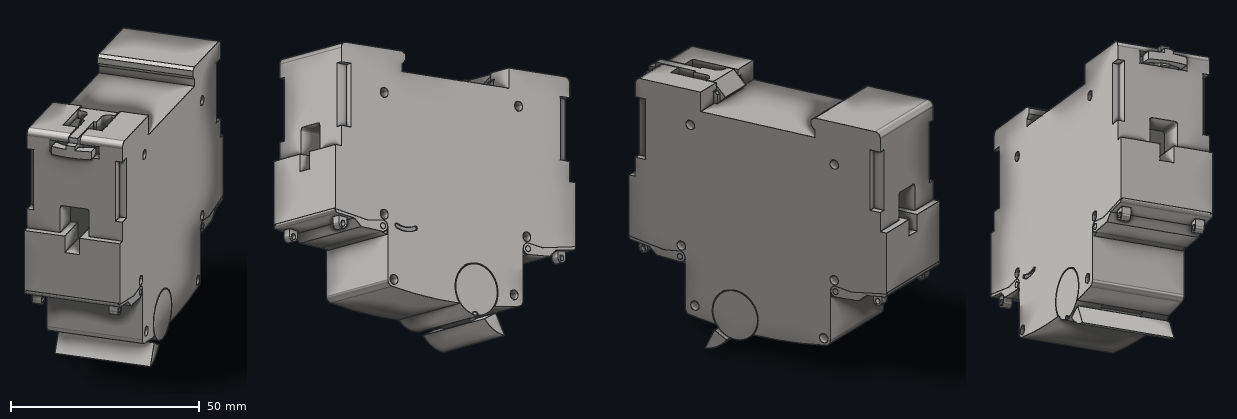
import cadquery as cq
import math


width = 27.0
overall_length = 81.3
overall_height = 72.7
top_z = 5.5
rail_half = 17.7
upper_half = 38.0
lower_half = 40.0
shoulder_z = -22.7
top_round = 1.6
lip_reach = 1.1
lip_chamfer = 0.7
lip_low_z = 3.2
lip_root_z = lip_low_z - lip_reach
neck_half = 22.5
neck_corner_z = -58.4
neck_low_z = -60.4
neck_round = 1.6
skirt_z = -40.1
valley_y = 29.1
valley_z = -41.8

notch_width, notch_depth, notch_low_z = 1.95, 3.2, -17.2
rivet_radius = 1.3
rivet_places = [(23.7, -6.5), (-21.0, -4.5), (23.7, -39.5), (-23.7, -39.5), (20.5, -56.7), (-19.5, -55.75)]

opening_width, opening_top_z, opening_round = 8.1, -14.9, 0.8
opening_depth = 8.1
opening_slot_width, opening_slot_z = 4.15, -27.4

arc_mark_radius = 7.6
arc_mark_half_angle = 24.0
arc_mark_width = 1.1
arc_mark_depth = 0.4
arc_mark_y, arc_mark_low_z = 16.4, -42.6

hinge_y, hinge_z = 24.1, -42.7
barrel_radius = 1.55
pin_radius = 0.8
cover_edge_z = -40.95
cover_edge_round = 0.65
cover_step_y = 33.7
cover_step_z = -41.8
cover_belly_y = 31.4
cover_belly_z = -43.8
cover_inset = 0.5
cover_lip = 0.25
cover_foot_z = -44.7
eyelet_y, eyelet_z = 36.4, -43.3
eyelet_radius, eyelet_thickness, eyelet_x = 1.3, 2.6, 10.8
eyelet_hole_width, eyelet_hole_height = 1.3, 1.6

drum_y, drum_z = -7.0, -55.9
drum_radius = 6.9
drum_clearance = 0.25
drum_dot_radius, drum_dot_depth, drum_dot_y = 0.9, 0.4, -6.7
handle_neck_length = 11.9
lever_heel = (-9.7, -63.5)
lever_belly = (-11.8, -65.5)
lever_tip = (-16.4, top_z - overall_height)
lever_brow = (-13.4, -61.4)
handle_neck_tilt = 28.6
handle_neck_low, handle_neck_high = -0.1, 1.9
handle_neck_end = 8.0
drum_relief_base = 5.7
drum_relief_width = 3.25

passage_half, passage_top_z = 6.9, 3.5
pocket_half, pocket_end_y = 5.5, -31.8
stem_slot_half = 1.55
plate_top_z = 3.25
plate_half, plate_back_y, plate_front_y = 6.5, -16.8, -34.95
plate_chamfer, plate_round = 0.7, 1.8
head_half, head_end_y = 5.2, -21.0
hook_tip_y, hook_tip_z, hook_low_z = -15.1, 1.8, 0.6
hook_base_y = -16.25
latch_neck_half, latch_neck_end_y, latch_neck_round = 2.1, -26.8, 2.0
window_back_half, window_front_half, window_front_y = 4.55, 2.0, -30.9
stem_half, stem_end_y = 1.3, -39.2
grip_half, grip_low_z, grip_top_z = 5.6, 0.6, 2.85
grip_inner_y, grip_inner_mid_y = -37.0, -39.0
grip_side_y = -40.55
grip_end_y = lower_half - overall_length
nib_top_z = 4.0

pick_margin = 0.1


def box(x_range, y_range, z_range):
    """Box between the given limits."""
    size = [high - low for low, high in (x_range, y_range, z_range)]
    corner = cq.Vector(x_range[0], y_range[0], z_range[0])
    return cq.Workplane(cq.Solid.makeBox(*size, corner))


def x_bar(sketch, length, x=0.0):
    """Extrude a closed YZ outline by the length, centred on x."""
    return sketch.extrude(length / 2, both=True).translate((x, 0, 0))


def x_cylinder(y, z, radius, length=width):
    return x_bar(cq.Workplane("YZ").center(y, z).circle(radius), length)


def mirrored_pair(shape):
    """The shape and its mirror image at the other end of the housing."""
    return [shape, shape.mirror("XZ")]


def housing_blank():
    corner = top_round * (1 - math.sqrt(0.5))
    profile = (
        cq.Workplane("YZ")
        .moveTo(rail_half, 0)
        .lineTo(rail_half, lip_root_z)
        .lineTo(rail_half - lip_reach, lip_low_z)
        .lineTo(rail_half - lip_reach, top_z - lip_chamfer)
        .lineTo(rail_half, top_z)
        .lineTo(upper_half - top_round, top_z)
        .threePointArc((upper_half - corner, top_z - corner), (upper_half, top_z - top_round))
        .lineTo(upper_half, shoulder_z)
        .lineTo(lower_half, shoulder_z)
        .lineTo(lower_half, skirt_z)
        .lineTo(valley_y, valley_z)
        .lineTo(hinge_y, hinge_z + barrel_radius)
        .lineTo(hinge_y, hinge_z)
        .lineTo(neck_half, hinge_z)
        .lineTo(neck_half, neck_corner_z)
        .threePointArc((0, neck_low_z), (-neck_half, neck_corner_z))
        .lineTo(-neck_half, hinge_z)
        .lineTo(-hinge_y, hinge_z)
        .lineTo(-hinge_y, hinge_z + barrel_radius)
        .lineTo(-valley_y, valley_z)
        .lineTo(-lower_half, skirt_z)
        .lineTo(-lower_half, shoulder_z)
        .lineTo(-upper_half, shoulder_z)
        .lineTo(-upper_half, top_z - top_round)
        .threePointArc((corner - upper_half, top_z - corner), (top_round - upper_half, top_z))
        .lineTo(-rail_half, top_z)
        .lineTo(-rail_half, 0)
        .close()
    )
    neck_corners = cq.selectors.BoxSelector(
        (-width, -neck_half - pick_margin, neck_corner_z - pick_margin),
        (width, neck_half + pick_margin, neck_corner_z + pick_margin),
    )
    return x_bar(profile, width).edges("|X").edges(neck_corners).fillet(neck_round)


def corner_notches():
    """Recesses along the upright edges of the upper part."""
    notch = box(
        (width / 2 - notch_width, width / 2),
        (upper_half - notch_depth, upper_half),
        (notch_low_z, 0),
    )
    return [part for half in mirrored_pair(notch) for part in (half, half.mirror("YZ"))]


def terminal_opening():
    """Opening through the -Y end, wide above the shoulder and narrow below it."""
    inner_y = opening_depth - upper_half
    wide = box(
        (-opening_width / 2, opening_width / 2), (-upper_half, inner_y), (shoulder_z, opening_top_z)
    ).edges("|Y and >Z").fillet(opening_round)
    slot_half = opening_slot_width / 2
    slot = box((-slot_half, slot_half), (-lower_half, inner_y), (opening_slot_z, shoulder_z))
    return wide.union(slot)


def latch_passage():
    """Low passage from the rail recess to the -Y face, with a pocket and a stem slot above it."""
    low = box((-passage_half, passage_half), (-upper_half, -rail_half), (0, passage_top_z))
    pocket = box((-pocket_half, pocket_half), (pocket_end_y, -rail_half), (0, top_z))
    slot = box((-stem_slot_half, stem_slot_half), (-upper_half, -rail_half), (0, top_z))
    return low.union(pocket).union(slot)


def curved_mark():
    """Curved recess with round ends in the -X side."""
    center_z = arc_mark_low_z + arc_mark_radius
    angle = math.radians(arc_mark_half_angle)

    def at(radius, turn):
        return arc_mark_y + radius * math.sin(turn), center_z - radius * math.cos(turn)

    inner = arc_mark_radius - arc_mark_width / 2
    outer = arc_mark_radius + arc_mark_width / 2
    end_turn = angle + arc_mark_width / 2 / arc_mark_radius
    return (
        cq.Workplane("YZ", origin=(-width / 2, 0, 0))
        .moveTo(*at(inner, -angle))
        .threePointArc(at(inner, 0), at(inner, angle))
        .threePointArc(at(arc_mark_radius, end_turn), at(outer, angle))
        .threePointArc(at(outer, 0), at(outer, -angle))
        .threePointArc(at(arc_mark_radius, -end_turn), at(inner, -angle))
        .close()
        .extrude(arc_mark_depth)
    )


def cover_lip_wedge():
    """Lip on top of the -Y cover that tapers from the outer end to the valley."""
    outline = (
        cq.Workplane("YZ")
        .moveTo(-lower_half, skirt_z)
        .lineTo(-lower_half, skirt_z + cover_lip)
        .lineTo(-valley_y, valley_z)
        .close()
    )
    return x_bar(outline, width - 2 * cover_inset)


def make_housing():
    body = housing_blank()
    cuts = [*corner_notches(), latch_passage(), curved_mark()]
    cuts += mirrored_pair(terminal_opening())
    cuts += mirrored_pair(cover_lip_wedge())
    cuts += mirrored_pair(x_cylinder(-hinge_y, hinge_z, barrel_radius))
    cuts += [x_cylinder(y, z, rivet_radius) for y, z in rivet_places]
    cuts.append(x_cylinder(drum_y, drum_z, drum_radius + drum_clearance))
    for cut in cuts:
        body = body.cut(cut)
    return body


def eyelet(x):
    """Sealing eye that hangs below the -Y cover."""
    plate = box(
        (-eyelet_thickness / 2, eyelet_thickness / 2),
        (-eyelet_y - eyelet_radius, -eyelet_y + eyelet_radius),
        (eyelet_z, cover_edge_z),
    )
    eye = plate.union(x_cylinder(-eyelet_y, eyelet_z, eyelet_radius, eyelet_thickness))
    hole = x_bar(
        cq.Workplane("YZ")
        .center(-eyelet_y, eyelet_z)
        .ellipse(eyelet_hole_width / 2, eyelet_hole_height / 2),
        width,
    )
    return eye.cut(hole).translate((x, 0, 0))


def make_cover():
    """Hinged terminal cover at the -Y end."""
    plate = x_bar(
        cq.Workplane("YZ")
        .moveTo(-lower_half, skirt_z)
        .lineTo(-valley_y, valley_z)
        .lineTo(-hinge_y, hinge_z + barrel_radius)
        .lineTo(-hinge_y, hinge_z - barrel_radius)
        .lineTo(-cover_belly_y, cover_belly_z)
        .lineTo(-cover_step_y, cover_step_z)
        .lineTo(-lower_half, cover_edge_z)
        .close(),
        width,
    ).edges("|X and <Y").edges("<Z").fillet(cover_edge_round)
    foot = x_bar(
        cq.Workplane("YZ")
        .moveTo(-neck_half, cover_foot_z)
        .lineTo(-hinge_y, hinge_z - barrel_radius)
        .lineTo(-hinge_y, hinge_z)
        .lineTo(-neck_half, hinge_z - barrel_radius / 2)
        .close(),
        width - 2 * cover_inset,
    )
    cover = plate.union(x_cylinder(-hinge_y, hinge_z, barrel_radius)).union(foot).union(cover_lip_wedge())
    for x in (-eyelet_x, eyelet_x):
        cover = cover.union(eyelet(x))
    return cover.cut(x_cylinder(-hinge_y, hinge_z, pin_radius))


def make_hinge_pin():
    return x_cylinder(-hinge_y, hinge_z, pin_radius)


def beside_neck(offsets, distances):
    """Block as long as the neck, placed by offsets across and distances along the tilted neck."""
    block = box(
        (-handle_neck_length / 2, handle_neck_length / 2),
        (-offsets[1], -offsets[0]),
        (-distances[1], -distances[0]),
    )
    return block.rotate((0, 0, 0), (1, 0, 0), -handle_neck_tilt).translate((0, drum_y, drum_z))


def make_handle():
    """Drum with a short neck and a full-width finger lever."""
    drum = x_cylinder(drum_y, drum_z, drum_radius)
    dot = (
        cq.Workplane("YZ", origin=(-width / 2, drum_dot_y, drum_z - drum_radius))
        .circle(drum_dot_radius)
        .extrude(drum_dot_depth)
    )
    lever = x_bar(
        cq.Workplane("YZ")
        .moveTo(*lever_heel)
        .threePointArc(lever_belly, lever_tip)
        .lineTo(*lever_brow)
        .close(),
        width,
    )
    neck = beside_neck((handle_neck_low, handle_neck_high), (0, handle_neck_end))
    relief = beside_neck(
        (handle_neck_high, handle_neck_high + drum_relief_width), (drum_relief_base, drum_radius)
    )
    return drum.cut(dot).cut(relief).union(neck).union(lever)


def latch_upper_tier():
    """Hook head, neck and stem that fill the height of the pocket and the stem slot."""
    hook = x_bar(
        cq.Workplane("YZ")
        .moveTo(hook_tip_y - (top_z - hook_tip_z), top_z)
        .lineTo(hook_tip_y, hook_tip_z)
        .lineTo(hook_base_y, hook_low_z)
        .lineTo(head_end_y, hook_low_z)
        .lineTo(head_end_y, top_z)
        .close(),
        2 * head_half,
    )
    neck = box(
        (-latch_neck_half, latch_neck_half), (latch_neck_end_y, head_end_y), (hook_low_z, top_z)
    )
    inner_corners = cq.selectors.BoxSelector(
        (-latch_neck_half - pick_margin, head_end_y - pick_margin, 0),
        (latch_neck_half + pick_margin, head_end_y + pick_margin, top_z),
    )
    head = hook.union(neck).edges("|Z").edges(inner_corners).fillet(latch_neck_round)
    stem = box((-stem_half, stem_half), (stem_end_y, head_end_y), (0, top_z))
    return head.union(stem)


def latch_plate():
    """Wide guide plate that runs in the passage, with a tapering window on both sides of the stem."""
    plate = (
        box((-plate_half, plate_half), (plate_front_y, plate_back_y), (0, plate_top_z))
        .edges("|Z and <Y").fillet(plate_round)
        .edges(">Y and >Z").chamfer(plate_chamfer)
    )
    window = (
        cq.Workplane("XY")
        .moveTo(-window_back_half, head_end_y)
        .lineTo(-window_front_half, window_front_y)
        .lineTo(window_front_half, window_front_y)
        .lineTo(window_back_half, head_end_y)
        .close()
        .extrude(plate_top_z)
    )
    return plate.cut(window)


def crescent(top):
    """Crescent block up to the given height."""
    return (
        cq.Workplane("XY", origin=(0, 0, grip_low_z))
        .moveTo(-grip_half, grip_inner_y)
        .threePointArc((0, grip_inner_mid_y), (grip_half, grip_inner_y))
        .lineTo(grip_half, grip_side_y)
        .threePointArc((0, grip_end_y), (-grip_half, grip_side_y))
        .close()
        .extrude(top - grip_low_z)
    )


def latch_grip():
    """Crescent finger grip with a nib on top of its middle."""
    stem_strip = box((-stem_half, stem_half), (grip_end_y, stem_end_y), (grip_low_z, nib_top_z))
    nib = crescent(nib_top_z).intersect(stem_strip)
    return crescent(grip_top_z).union(nib)


def make_latch():
    return latch_upper_tier().union(latch_plate()).union(latch_grip())


housing = make_housing()
handle = make_handle()
latch = make_latch()
covers = mirrored_pair(make_cover())
hinge_pins = mirrored_pair(make_hinge_pin())

result = cq.Compound.makeCompound([
    housing.val(),
    handle.val(),
    latch.val(),
    *[cover.val() for cover in covers],
    *[pin.val() for pin in hinge_pins],
])